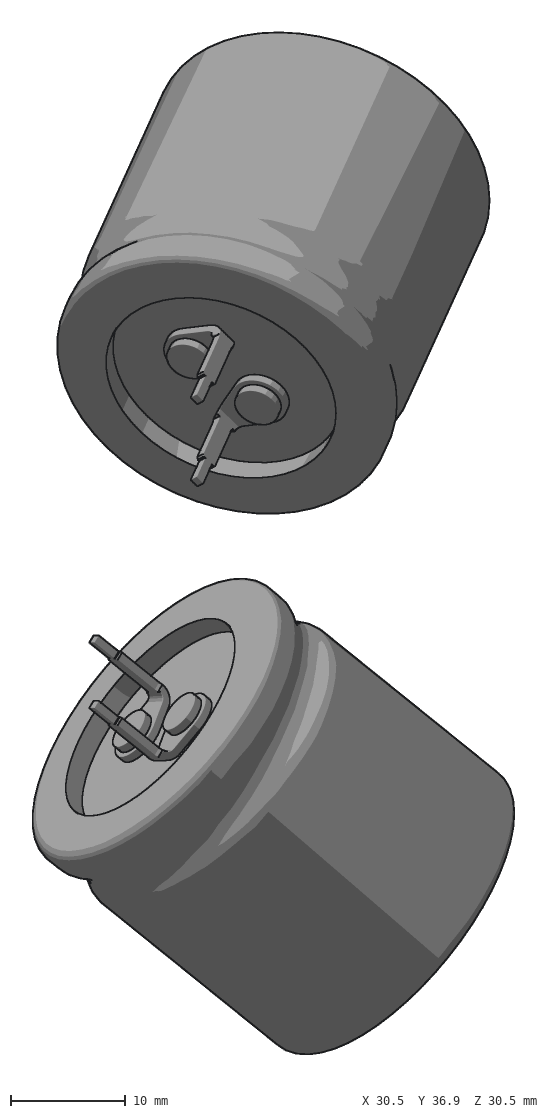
import math

import cadquery as cq


can_radius = 15.24
can_length = 30.0
can_edge_fillet = 1.0
recess_radius = 10.5
recess_depth = 2.0

groove_center_y = 5.0
groove_half_width = 2.7
groove_arc_half_width = 1.6
groove_depth = 0.85

pin_spacing = 10.0
pin_protrusion = 6.89
pin_width = 1.6
tip_width = 0.9
tip_start = 4.43
step_chamfer = 0.17
neck_length = 0.35
edge_fillet = 0.05
strip_thickness = 0.8
bend_inner_radius = 0.6
tab_radius = 2.5
tab_taper_angle = 20.5
rivet_radius = 2.0
rivet_height = 0.8
rivet_to_pin = 4.4
tab_direction = 45.0


def make_can():
    """Solid of revolution with a rolled groove, rounded rims and a recessed end."""
    arc_angle = 2 * math.atan(groove_depth / groove_half_width)
    groove_arc_radius = groove_arc_half_width / math.sin(arc_angle)
    shoulder_radius = (groove_half_width - groove_arc_half_width) / math.sin(arc_angle)
    floor_radius = can_radius - groove_depth
    meet_radius = floor_radius + groove_arc_radius * (1 - math.cos(arc_angle))
    shoulder_mid_offset = groove_half_width - shoulder_radius * math.sin(arc_angle / 2)
    shoulder_mid_radius = can_radius - shoulder_radius * (1 - math.cos(arc_angle / 2))

    can = (
        cq.Workplane("XY")
        .lineTo(can_radius, 0)
        .lineTo(can_radius, groove_center_y - groove_half_width)
        .threePointArc(
            (shoulder_mid_radius, groove_center_y - shoulder_mid_offset),
            (meet_radius, groove_center_y - groove_arc_half_width),
        )
        .threePointArc(
            (floor_radius, groove_center_y),
            (meet_radius, groove_center_y + groove_arc_half_width),
        )
        .threePointArc(
            (shoulder_mid_radius, groove_center_y + shoulder_mid_offset),
            (can_radius, groove_center_y + groove_half_width),
        )
        .lineTo(can_radius, can_length)
        .lineTo(0, can_length)
        .close()
        .revolve(360, (0, 0, 0), (0, 1, 0))
    )
    can = can.faces("<Y or >Y").edges().fillet(can_edge_fillet)
    recess = cq.Workplane("XZ").circle(recess_radius).extrude(-recess_depth)
    return can.cut(recess)


def make_terminal():
    """Terminal with its rivet axis on Y and its pin offset along +X."""
    floor_y = recess_depth
    tab_top_y = floor_y - strip_thickness
    bend_outer_radius = bend_inner_radius + strip_thickness
    bend_end_y = floor_y - bend_outer_radius
    pin_outer_x = rivet_to_pin + strip_thickness / 2
    pin_inner_x = rivet_to_pin - strip_thickness / 2
    bend_center_x = pin_outer_x - bend_outer_radius
    diagonal = math.sqrt(0.5)

    strip = (
        cq.Workplane("XY")
        .moveTo(-tab_radius, floor_y)
        .lineTo(bend_center_x, floor_y)
        .threePointArc(
            (bend_center_x + bend_outer_radius * diagonal, bend_end_y + bend_outer_radius * diagonal),
            (pin_outer_x, bend_end_y),
        )
        .lineTo(pin_inner_x, bend_end_y)
        .threePointArc(
            (bend_center_x + bend_inner_radius * diagonal, bend_end_y + bend_inner_radius * diagonal),
            (bend_center_x, tab_top_y),
        )
        .lineTo(-tab_radius, tab_top_y)
        .close()
        .extrude(tab_radius, both=True)
    )

    taper = math.radians(tab_taper_angle)
    tangent_x = tab_radius * math.sin(taper)
    tangent_z = tab_radius * math.cos(taper)
    bend_half_width = (tab_radius - pin_outer_x * math.sin(taper)) / math.cos(taper)
    outline = (
        cq.Workplane("XZ", origin=(0, floor_y, 0))
        .moveTo(tangent_x, -tangent_z)
        .lineTo(pin_outer_x, -bend_half_width)
        .lineTo(pin_outer_x, bend_half_width)
        .lineTo(tangent_x, tangent_z)
        .threePointArc((-tab_radius, 0), (tangent_x, -tangent_z))
        .close()
        .extrude(bend_outer_radius)
    )
    tab = strip.intersect(outline)

    pin_half = pin_width / 2
    tip_half = tip_width / 2
    half_outline = [
        (bend_half_width, bend_end_y),
        (pin_half, bend_end_y - neck_length),
        (pin_half, -tip_start + step_chamfer),
        (pin_half - step_chamfer, -tip_start),
        (tip_half, -tip_start),
        (tip_half, -pin_protrusion),
    ]
    mirrored_outline = [(-z, y) for z, y in reversed(half_outline)]
    pin_plane = cq.Plane(origin=(pin_inner_x, 0, 0), xDir=(0, 0, -1), normal=(1, 0, 0))
    pin = cq.Workplane(pin_plane).polyline(half_outline + mirrored_outline).close().extrude(strip_thickness)

    rivet = cq.Workplane("XZ", origin=(0, tab_top_y, 0)).circle(rivet_radius).extrude(rivet_height)
    rivet = rivet.faces("<Y").edges().fillet(edge_fillet)
    bent_strip = tab.union(pin).edges("(not (|Z or |X)) or <Y").fillet(edge_fillet)
    return bent_strip.union(rivet)


def place_terminal(turn):
    """One terminal with its pin above the can axis, then turned about that axis."""
    angle = math.radians(tab_direction)
    rivet_x = -rivet_to_pin * math.cos(angle)
    rivet_z = pin_spacing / 2 - rivet_to_pin * math.sin(angle)
    return (
        make_terminal()
        .rotate((0, 0, 0), (0, 1, 0), -tab_direction)
        .translate((rivet_x, 0, rivet_z))
        .rotate((0, 0, 0), (0, 1, 0), turn)
    )


can = make_can()
terminals = [place_terminal(turn) for turn in (0, 180)]

result = cq.Compound.makeCompound([can.val(), *[terminal.val() for terminal in terminals]])